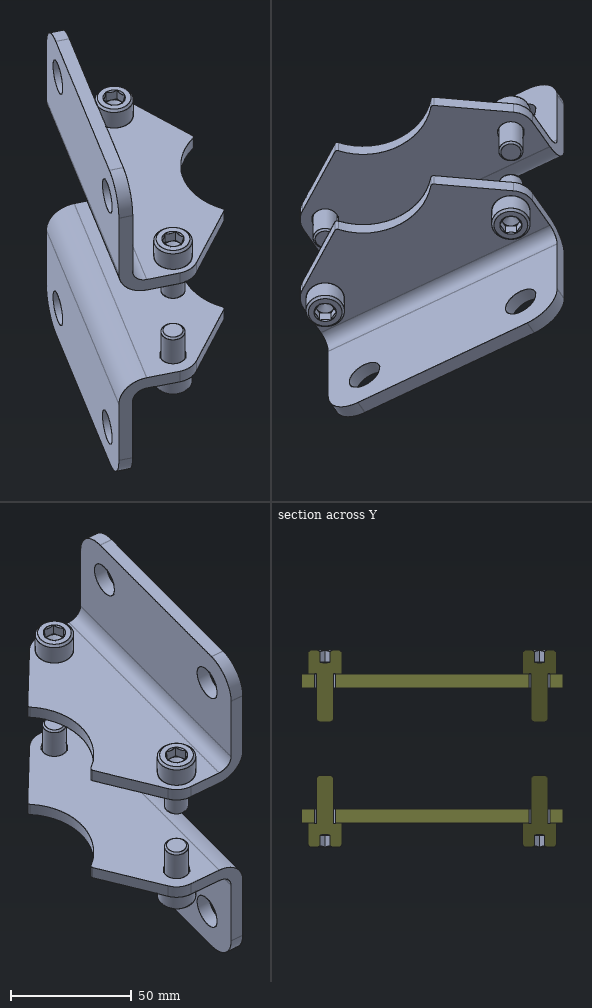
import cadquery as cq
import math

WIDTH = 110.0
TOTAL_HEIGHT = 167.0
SHELF_GAP = 50.1
THICKNESS = 6.0
BEND_INNER_RADIUS = 6.0
WALL_CORNER_RADIUS = 14.4

WALL_HOLE_DIAMETER = 14.5
WALL_HOLE_SPACING = 75.0

SHELF_DEPTH = 54.6
SADDLE_RADIUS = 28.5
SADDLE_BOTTOM_Y = 43.6
HORN_TIP_RADIUS = 1.2

SCREW_SPACING = 89.2
SCREW_Y = 26.4
SCREW_HOLE_DIAMETER = 11.0
SHANK_DIAMETER = 10.0
SHANK_LENGTH = 20.0
SHANK_CHAMFER = 0.8
HEAD_DIAMETER = 16.0
HEAD_HEIGHT = 10.0
HEAD_CHAMFER = 1.0
HEAD_UNDERSIDE_CHAMFER = 0.2
SOCKET_ACROSS_FLATS = 8.0
SOCKET_DEPTH = 5.0
SOCKET_CONE_HEIGHT = 2.3

half_width = WIDTH / 2
shelf_bottom_z = SHELF_GAP / 2
shelf_top_z = shelf_bottom_z + THICKNESS
wall_top_z = TOTAL_HEIGHT / 2
screw_x = SCREW_SPACING / 2
wall_hole_edge_distance = (WIDTH - WALL_HOLE_SPACING) / 2
socket_corner_diameter = SOCKET_ACROSS_FLATS / math.cos(math.radians(30))


def on_circle(center, radius, angle):
    """Point on a circle at the given angle in radians."""
    return (center[0] + radius * math.cos(angle), center[1] + radius * math.sin(angle))


def mirrored_x(point):
    return (-point[0], point[1])


def bracket_plan():
    """Outline of the bracket seen along Z, as a solid prism spanning the bracket's height."""
    corner_center = (screw_x, SCREW_Y)
    corner_radius = half_width - screw_x

    saddle_center = (0, SADDLE_BOTTOM_Y + SADDLE_RADIUS)
    tip_y = SHELF_DEPTH - HORN_TIP_RADIUS
    tip_x = math.sqrt((SADDLE_RADIUS + HORN_TIP_RADIUS) ** 2 - (saddle_center[1] - tip_y) ** 2)
    tip_center = (tip_x, tip_y)

    run = corner_center[0] - tip_x
    rise = tip_y - corner_center[1]
    center_distance = math.hypot(run, rise)
    normal = math.atan2(rise, -run) - math.acos((corner_radius - HORN_TIP_RADIUS) / center_distance)
    to_saddle = math.atan2(saddle_center[1] - tip_y, -tip_x)

    corner_start = (half_width, SCREW_Y)
    corner_middle = on_circle(corner_center, corner_radius, normal / 2)
    corner_end = on_circle(corner_center, corner_radius, normal)
    tip_start = on_circle(tip_center, HORN_TIP_RADIUS, normal)
    tip_middle = on_circle(tip_center, HORN_TIP_RADIUS, (normal + to_saddle) / 2)
    tip_end = on_circle(tip_center, HORN_TIP_RADIUS, to_saddle)

    return (
        cq.Workplane("XY", origin=(0, 0, shelf_bottom_z))
        .moveTo(-half_width, 0)
        .lineTo(half_width, 0)
        .lineTo(*corner_start)
        .threePointArc(corner_middle, corner_end)
        .lineTo(*tip_start)
        .threePointArc(tip_middle, tip_end)
        .threePointArc((0, SADDLE_BOTTOM_Y), mirrored_x(tip_end))
        .threePointArc(mirrored_x(tip_middle), mirrored_x(tip_start))
        .lineTo(*mirrored_x(corner_end))
        .threePointArc(mirrored_x(corner_middle), mirrored_x(corner_start))
        .close()
        .extrude(wall_top_z - shelf_bottom_z)
    )


def bent_sheet():
    """L-shaped sheet: wall along Z, shelf along +Y, joined by a concentric bend."""
    sheet = (
        cq.Workplane("YZ")
        .moveTo(0, shelf_bottom_z)
        .lineTo(SHELF_DEPTH, shelf_bottom_z)
        .lineTo(SHELF_DEPTH, shelf_top_z)
        .lineTo(THICKNESS, shelf_top_z)
        .lineTo(THICKNESS, wall_top_z)
        .lineTo(0, wall_top_z)
        .close()
        .extrude(half_width, both=True)
    )
    inner_edge = cq.NearestToPointSelector((0, THICKNESS, shelf_top_z))
    outer_edge = cq.NearestToPointSelector((0, 0, shelf_bottom_z))
    sheet = sheet.edges(inner_edge).fillet(BEND_INNER_RADIUS)
    sheet = sheet.edges(outer_edge).fillet(BEND_INNER_RADIUS + THICKNESS)
    return sheet.edges("|Y and >Z").fillet(WALL_CORNER_RADIUS)


def make_bracket():
    """Upper bracket with its shelf outline, two wall holes and two screw holes."""
    wall_holes = (
        cq.Workplane("XZ", origin=(0, 0, wall_top_z - wall_hole_edge_distance))
        .pushPoints([(-WALL_HOLE_SPACING / 2, 0), (WALL_HOLE_SPACING / 2, 0)])
        .circle(WALL_HOLE_DIAMETER / 2)
        .extrude(-THICKNESS)
    )
    screw_holes = (
        cq.Workplane("XY", origin=(0, SCREW_Y, shelf_bottom_z))
        .pushPoints([(-screw_x, 0), (screw_x, 0)])
        .circle(SCREW_HOLE_DIAMETER / 2)
        .extrude(THICKNESS)
    )
    return bent_sheet().intersect(bracket_plan()).cut(wall_holes).cut(screw_holes)


def hex_socket():
    """Hexagonal recess with a countersunk mouth and a drill-point bottom, opening at the head top."""
    flat_radius = SOCKET_ACROSS_FLATS / 2
    corner_radius = socket_corner_diameter / 2
    floor_z = HEAD_HEIGHT - SOCKET_DEPTH
    hexagon = (
        cq.Workplane("XY", origin=(0, 0, floor_z))
        .polygon(6, socket_corner_diameter)
        .extrude(SOCKET_DEPTH)
        .rotate((0, 0, 0), (0, 0, 1), 30)
    )
    mouth_depth = corner_radius - flat_radius
    turned_recess = (
        cq.Workplane("XZ")
        .moveTo(0, floor_z - SOCKET_CONE_HEIGHT)
        .lineTo(flat_radius, floor_z)
        .lineTo(flat_radius, HEAD_HEIGHT - mouth_depth)
        .lineTo(corner_radius, HEAD_HEIGHT)
        .lineTo(0, HEAD_HEIGHT)
        .close()
        .revolve(360, (0, 0), (0, 1))
    )
    return hexagon.union(turned_recess)


def make_screw():
    """Socket head screw pointing down, with the underside of its head at Z = 0."""
    head = cq.Workplane("XY").circle(HEAD_DIAMETER / 2).extrude(HEAD_HEIGHT)
    head = head.faces(">Z").chamfer(HEAD_CHAMFER)
    head = head.faces("<Z").chamfer(HEAD_UNDERSIDE_CHAMFER)
    shank = cq.Workplane("XY").circle(SHANK_DIAMETER / 2).extrude(-SHANK_LENGTH)
    shank = shank.faces("<Z").chamfer(SHANK_CHAMFER)
    return head.union(shank).cut(hex_socket())


upper_bodies = [make_bracket().val()]
for side in (-1, 1):
    upper_bodies.append(make_screw().translate((side * screw_x, SCREW_Y, shelf_top_z)).val())
lower_bodies = [body.mirror("XY") for body in upper_bodies]

result = cq.Compound.makeCompound(upper_bodies + lower_bodies)